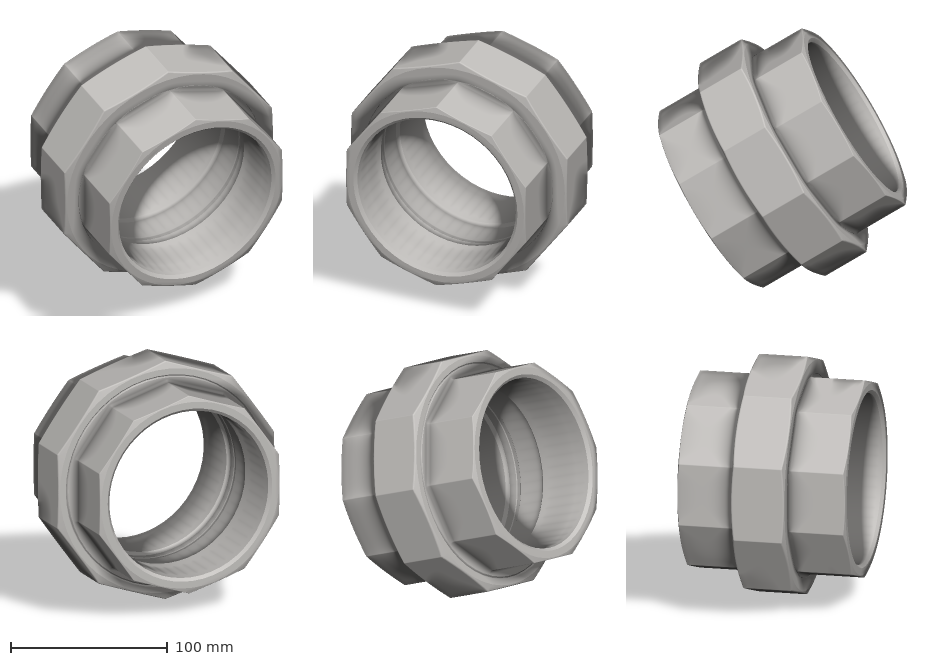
import cadquery as cq
import math

total_length = 110.0
side_count = 10
corner_radius = 1.0

nut_across_flats = 150.0
nut_face_diameter = 148.0
nut_bevel_angle = 20.0
nut_bevel_radius = 1.0
nut_start = -17.0
nut_end = 18.0
nut_shoulder_length = 5.0
nut_neck_hole_diameter = 131.5
thread_major_diameter = 140.0
thread_minor_diameter = 136.75

piece_across_flats = 124.5
piece_face_diameter = 123.0
piece_bevel_angle = 18.0
piece_bevel_radius = 0.5
flange_diameter = 136.0
neck_diameter = 131.0
foot_radius = 2.0

pipe_thread_diameter = 110.07
pipe_thread_chamfer_diameter = 114.0
pipe_thread_end = 15.5
waterway_chamfer = 0.5

gasket_start = 5.0
gasket_thickness = 2.5

half_length = total_length / 2
gasket_end = gasket_start + gasket_thickness
shoulder_start = nut_end - nut_shoulder_length
thread_contact_diameter = (thread_major_diameter + thread_minor_diameter) / 2
thread_lead_in = (thread_major_diameter - thread_contact_diameter) / 2
pipe_thread_chamfer = (pipe_thread_chamfer_diameter - pipe_thread_diameter) / 2
waterway_diameter = pipe_thread_chamfer_diameter
gasket_bore_diameter = waterway_diameter + 2 * waterway_chamfer
position_tolerance = 1e-4


def revolved(profile):
    """Solid of revolution about X from (x, diameter) points; the ends are closed onto the axis."""
    outline = [(profile[0][0], 0)]
    outline += [(x, diameter / 2) for x, diameter in profile]
    outline += [(profile[-1][0], 0)]
    return cq.Workplane("XY").polyline(outline).close().revolve(360, (0, 0, 0), (1, 0, 0))


def cylinder(diameter, start, end):
    """Solid cylinder along X."""
    return revolved([(start, diameter), (end, diameter)])


def decagon(across_flats, face_diameter, start, end, bevelled_ends, bevel_angle, bevel_radius):
    """Decagonal prism along X with corners on the Z axis, bevelled and rounded at the listed ends."""
    corner_diameter = across_flats / math.cos(math.pi / side_count)
    prism = (
        cq.Workplane("YZ", origin=(start, 0, 0))
        .transformed(rotate=(0, 0, 90))
        .polygon(side_count, corner_diameter)
        .extrude(end - start)
        .edges("|X")
        .fillet(corner_radius)
    )
    depth = (corner_diameter - face_diameter) / 2 * math.tan(math.radians(bevel_angle))
    limit = [(start, corner_diameter)]
    if start in bevelled_ends:
        limit = [(start, face_diameter), (start + depth, corner_diameter)]
    if end in bevelled_ends:
        limit += [(end - depth, corner_diameter), (end, face_diameter)]
    else:
        limit += [(end, corner_diameter)]
    prism = prism.intersect(revolved(limit))
    bevel_edges = [edge for edge in prism.edges().vals() if edge.geomType() not in ("LINE", "CIRCLE")]
    return prism.newObject(bevel_edges).fillet(bevel_radius)


def foot_fillet(piece, face_x):
    """Fillet where a decagon stands on the collar face at face_x."""
    foot_edges = [
        edge
        for edge in piece.edges().vals()
        if abs(edge.Center().x - face_x) < position_tolerance and edge.Length() < piece_across_flats / 2
    ]
    return piece.newObject(foot_edges).fillet(foot_radius)


def waterway(inner_face, side):
    """Bore of an end piece; side is -1 for the left piece and 1 for the right piece."""
    thread_start = half_length - pipe_thread_chamfer
    return revolved(
        [
            (side * half_length, pipe_thread_chamfer_diameter),
            (side * thread_start, pipe_thread_diameter),
            (side * pipe_thread_end, pipe_thread_diameter),
            (side * (pipe_thread_end - pipe_thread_chamfer), waterway_diameter),
            (inner_face + side * waterway_chamfer, waterway_diameter),
            (inner_face, gasket_bore_diameter),
        ]
    )


nut = decagon(
    nut_across_flats,
    nut_face_diameter,
    nut_start,
    nut_end,
    (nut_start, nut_end),
    nut_bevel_angle,
    nut_bevel_radius,
)
nut = nut.cut(
    revolved(
        [
            (nut_start, thread_major_diameter),
            (nut_start + thread_lead_in, thread_contact_diameter),
            (shoulder_start, thread_contact_diameter),
            (shoulder_start, nut_neck_hole_diameter),
            (nut_end, nut_neck_hole_diameter),
        ]
    )
)

left_piece = decagon(
    piece_across_flats,
    piece_face_diameter,
    -half_length,
    nut_start,
    (-half_length,),
    piece_bevel_angle,
    piece_bevel_radius,
)
left_piece = left_piece.union(
    revolved(
        [
            (nut_start, thread_minor_diameter),
            (nut_start + thread_lead_in, thread_contact_diameter),
            (gasket_start, thread_contact_diameter),
        ]
    )
)
left_piece = foot_fillet(left_piece, nut_start).cut(waterway(gasket_start, -1))

right_piece = decagon(
    piece_across_flats,
    piece_face_diameter,
    nut_end,
    half_length,
    (half_length,),
    piece_bevel_angle,
    piece_bevel_radius,
)
right_piece = right_piece.union(
    revolved(
        [
            (gasket_end, flange_diameter),
            (shoulder_start, flange_diameter),
            (shoulder_start, neck_diameter),
            (nut_end, neck_diameter),
        ]
    )
)
right_piece = foot_fillet(right_piece, nut_end).cut(waterway(gasket_end, 1))

gasket = cylinder(flange_diameter, gasket_start, gasket_end)
gasket = gasket.cut(cylinder(gasket_bore_diameter, gasket_start, gasket_end))

result = cq.Compound.makeCompound([left_piece.val(), nut.val(), gasket.val(), right_piece.val()])